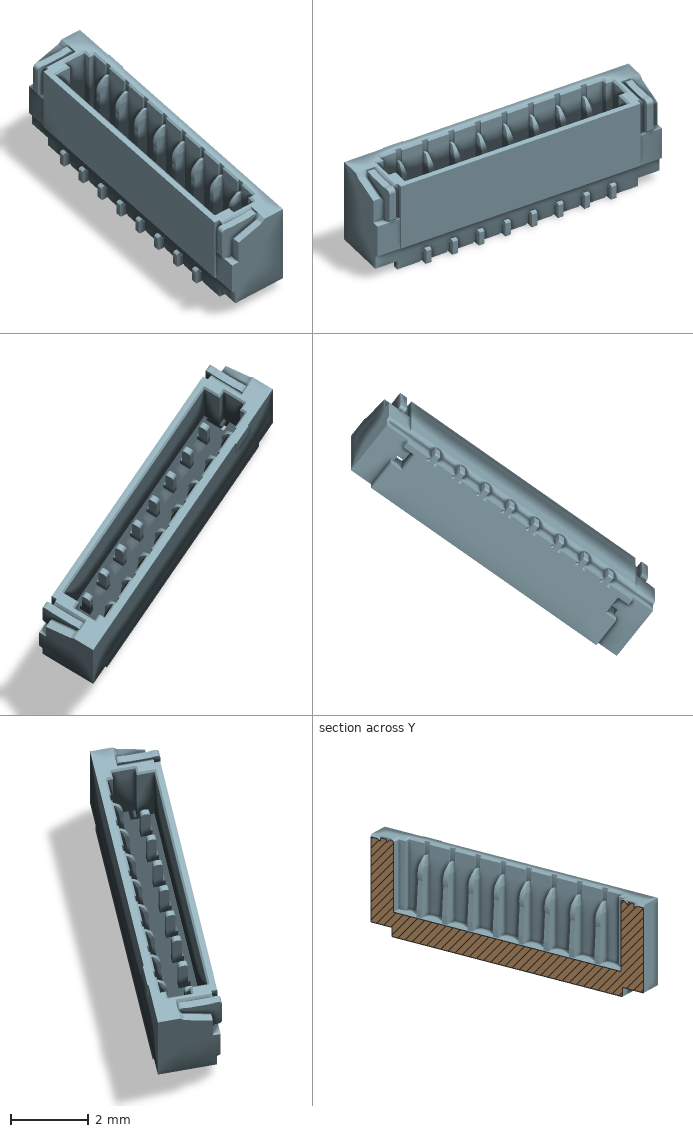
import cadquery as cq


length = 8.6
half_length = length / 2
height = 2.7
shroud_half = 3.62
shroud_front = -1.71
side_front = -1.66
base_front = -1.56
panel_bottom = 0.74
foot_top = 0.645
foot_half = 3.64
foot_notch = 0.26

cavity_back = -0.26
cavity_front = -1.505
cavity_half = 3.36
nook_half = 3.57
nook_back = -0.41
nook_front = -1.04
floor_z = 0.705
mouth_chamfer = 0.05

drain_inner = 3.29
drain_back = -0.86
drain_front = -1.4
drain_lip = 0.09

pad_left = -3.105
pad_right = -2.51
pad_bottom = 2.17
pad_thickness = 0.03

shelf_z = 1.65
clip_outer = 4.0
clip_inner = 3.8
clip_back = -0.59
clip_front = -1.755
clip_bottom = 1.69
clip_root = -1.53
clip_round = 0.1
clip_dip = 0.03
dip_back = -0.75
dip_front = -1.61
dip_crest_run = 0.05
dip_valley_run = 0.13
cheek_step = 0.1
cheek_low = 2.34
cheek_front = -1.45
cheek_bevel = 0.1

pin_count = 8
pin_pitch = 0.8
pin_width = 0.155
groove_width = 0.17
groove_back = cavity_back + mouth_chamfer

blade_top = 2.34
blade_taper_z = 2.09
blade_tip_width = 0.07
blade_tip_front = -0.33
blade_mid_front = -0.49
blade_mid_z = 2.14
blade_front = -0.54
blade_bulge_z = 1.72
blade_foot_front = -0.6
blade_foot_z = 0.95

post_top = 1.72
post_back = -1.015
post_front = -1.26
post_foot_front = -1.325
post_foot_z = 0.95
post_round = 0.1

tail_back = -1.61
tail_front = clip_front
tail_top = 0.46
tail_web_top = 0.335
tail_chamfer = 0.035
relief_width = 0.31
relief_depth = 0.09
relief_height = 0.08


def box(x0, x1, y0, y1, z0, z1):
    """Axis-aligned box between opposite limits."""
    size = (abs(x1 - x0), abs(y1 - y0), abs(z1 - z0))
    return cq.Workplane("XY").box(*size).translate(((x0 + x1) / 2, (y0 + y1) / 2, (z0 + z1) / 2))


def side_prism(points, x0, x1):
    """Prism along X over a polygon of (Y, Z) points."""
    return cq.Workplane("YZ", origin=(x0, 0, 0)).polyline(points).close().extrude(x1 - x0)


def both_ends(shape):
    """The shape together with its mirror image at the other end."""
    return shape.union(shape.mirror("YZ"))


def make_housing():
    body = box(-half_length, half_length, 0, base_front, 0, height)
    panel = side_prism(
        [(base_front, height), (shroud_front, height), (shroud_front, panel_bottom), (base_front, foot_top)],
        -shroud_half,
        shroud_half,
    )
    slope = (panel_bottom - foot_top) / (shroud_front - base_front)
    side_bottom = foot_top + slope * (side_front - base_front)
    ends = side_prism(
        [(base_front, shelf_z), (side_front, shelf_z), (side_front, side_bottom), (base_front, foot_top)],
        -half_length,
        half_length,
    )
    notch = box(-half_length, -foot_half, 0, base_front, 0, foot_notch)
    pad = box(pad_left, pad_right, 0, pad_thickness, pad_bottom, height)
    return body.union(panel).union(ends).union(pad).cut(both_ends(notch))


def make_cavity():
    """Stepped socket cavity with a chamfered mouth."""
    right_side = [
        (cavity_half, cavity_back),
        (cavity_half, nook_back),
        (nook_half, nook_back),
        (nook_half, nook_front),
        (cavity_half, nook_front),
        (cavity_half, cavity_front),
    ]
    outline = right_side + [(-x, y) for x, y in reversed(right_side)]
    cavity = cq.Workplane("XY", origin=(0, 0, floor_z)).polyline(outline).close().extrude(height - floor_z)
    mouth_plane = cq.Workplane("XY", origin=(0, 0, height - mouth_chamfer))
    mouth = mouth_plane.polyline(outline).close().extrude(mouth_chamfer, taper=-45)
    return cavity.union(mouth)


def make_drain():
    """Left floor opening, running out sideways through the end notch."""
    shaft = box(-nook_half, -drain_inner, drain_back, drain_front, 0, floor_z)
    outlet = box(-foot_half, -drain_inner, drain_back, drain_front, 0, foot_notch)
    return shaft.union(outlet)


def make_drain_lip():
    """Block under the corner wall of the left drain opening, with a half-round lip along its back."""
    corner = box(-nook_half, -cavity_half, nook_front, drain_front, foot_notch, floor_z)
    lip = (
        cq.Workplane("YZ", origin=(-nook_half, nook_front, floor_z - drain_lip))
        .moveTo(0, drain_lip)
        .threePointArc((drain_lip, 0), (0, -drain_lip))
        .close()
        .extrude(nook_half - cavity_half)
    )
    return corner.union(lip)


def cheek_profile(drop):
    """(Y, Z) outline of the space above the sloping end wall, lowered by a drop."""
    return [
        (clip_back, height),
        (clip_back - cheek_step, height - cheek_step - drop),
        (cheek_front, cheek_low - drop),
        (cheek_front, shelf_z),
        (side_front, shelf_z),
        (side_front, height),
    ]


def make_end_clearance():
    """Space around the left clip: the sloping cheek, its bevel and the bevel of the socket wall."""
    bevel_start = -clip_outer - cheek_bevel
    cheek = side_prism(cheek_profile(0), -half_length, bevel_start)
    outer_bevel = (
        cq.Workplane("YZ", origin=(bevel_start, 0, 0))
        .polyline(cheek_profile(0))
        .close()
        .workplane(offset=cheek_bevel)
        .polyline(cheek_profile(cheek_bevel))
        .close()
        .loft(ruled=True)
    )
    inner_bevel = (
        cq.Workplane("XZ", origin=(0, clip_back, 0))
        .polyline(
            [
                (-clip_inner, height),
                (-clip_inner, height - cheek_bevel),
                (-clip_inner + cheek_bevel, height),
            ]
        )
        .close()
        .extrude(clip_back - base_front)
    )
    clip_top = box(-clip_outer, -clip_inner, clip_back, base_front, height - clip_round, height)
    return cheek.union(outer_bevel).union(inner_bevel).union(clip_top)


def make_clip():
    """Left hold-down clip: a plate with a hollowed top and a front arm hanging over the shelf."""
    crest_drop = clip_dip * dip_crest_run / (dip_crest_run + dip_valley_run)
    valley_drop = clip_dip - crest_drop
    plate = (
        cq.Workplane("YZ", origin=(-clip_outer, 0, 0))
        .moveTo(clip_back, shelf_z)
        .lineTo(clip_back, height)
        .lineTo(dip_back, height)
        .tangentArcPoint((-dip_crest_run, -crest_drop))
        .tangentArcPoint((-dip_valley_run, -valley_drop))
        .lineTo(dip_front + dip_crest_run + dip_valley_run, height - clip_dip)
        .tangentArcPoint((-dip_valley_run, valley_drop))
        .tangentArcPoint((-dip_crest_run, crest_drop))
        .lineTo(clip_front, height)
        .lineTo(clip_front, clip_bottom)
        .lineTo(clip_root, clip_bottom)
        .lineTo(clip_root, shelf_z)
        .close()
        .extrude(clip_outer - clip_inner)
    )
    plate = plate.edges("|X and >Y and >Z").fillet(clip_round)
    return plate.edges("|X and <Y").fillet(clip_round)


def make_groove(x):
    """Slot in the back wall behind a contact blade."""
    half_width = groove_width / 2
    return box(x - half_width, x + half_width, cavity_back, groove_back, floor_z, height)


def make_blade(x):
    """Contact blade bulging out of the back wall, its top tapered in width."""
    half_width = pin_width / 2
    half_tip = blade_tip_width / 2
    bulge_mid = (blade_mid_front, blade_mid_z)
    side = (
        cq.Workplane("YZ", origin=(x - half_width, 0, 0))
        .moveTo(groove_back, floor_z)
        .lineTo(groove_back, blade_top)
        .lineTo(blade_tip_front, blade_top)
        .threePointArc(bulge_mid, (blade_front, blade_bulge_z))
        .lineTo(blade_foot_front, blade_foot_z)
        .lineTo(blade_foot_front, floor_z)
        .close()
        .extrude(pin_width)
    )
    front = (
        cq.Workplane("XZ")
        .polyline(
            [
                (x - half_width, floor_z),
                (x - half_width, blade_taper_z),
                (x - half_tip, blade_top),
                (x + half_tip, blade_top),
                (x + half_width, blade_taper_z),
                (x + half_width, floor_z),
            ]
        )
        .close()
        .extrude(-blade_foot_front)
    )
    return side.intersect(front)


def make_post(x):
    """Front-row contact with a rounded tip and a deeper foot."""
    half_width = pin_width / 2
    post = box(x - half_width, x + half_width, post_back, post_front, floor_z, post_top)
    post = post.edges("|X and >Z").fillet(post_round)
    foot = box(x - half_width, x + half_width, post_back, post_foot_front, floor_z, post_foot_z)
    return post.union(foot)


def make_tail(x):
    """Solder tail standing up in front of the foot."""
    half_width = pin_width / 2
    tail = box(x - half_width, x + half_width, tail_back, tail_front, 0, tail_top)
    tail = tail.edges("|X").edges("<Y or >Z").chamfer(tail_chamfer)
    web = box(x - half_width, x + half_width, base_front + relief_depth, tail_back, 0, tail_web_top)
    return tail.union(web)


def make_relief(x):
    """Bevelled relief in the lower front edge of the foot around a tail."""
    return (
        cq.Workplane("XY")
        .center(x, base_front)
        .rect(relief_width, 2 * relief_depth)
        .extrude(relief_height, taper=45)
    )


result = make_housing().cut(make_cavity())
result = result.cut(both_ends(make_drain())).union(both_ends(make_drain_lip()))
result = result.cut(both_ends(make_end_clearance())).union(both_ends(make_clip()))

for index in range(pin_count):
    pin_x = (index - (pin_count - 1) / 2) * pin_pitch
    result = result.cut(make_groove(pin_x)).cut(make_relief(pin_x))
    result = result.union(make_blade(pin_x)).union(make_post(pin_x)).union(make_tail(pin_x))